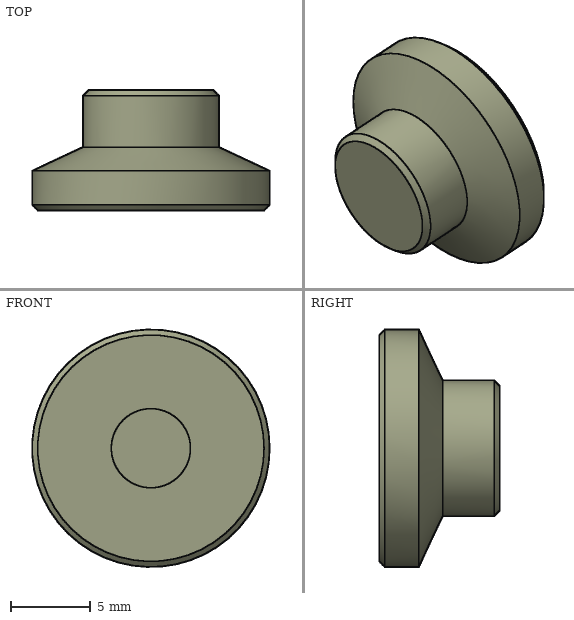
import cadquery as cq

flange_diameter = 15.0
flange_thickness = 2.5
taper_length = 1.5
hub_diameter = 8.6
hub_length = 3.6
edge_chamfer = 0.36
recess_diameter = 5.0
recess_depth = 0.5

flange_radius = flange_diameter / 2
hub_radius = hub_diameter / 2
hub_start = flange_thickness + taper_length
total_length = hub_start + hub_length

body = (
    cq.Workplane("XY")
    .moveTo(0, 0)
    .lineTo(flange_radius - edge_chamfer, 0)
    .lineTo(flange_radius, edge_chamfer)
    .lineTo(flange_radius, flange_thickness)
    .lineTo(hub_radius, hub_start)
    .lineTo(hub_radius, total_length - edge_chamfer)
    .lineTo(hub_radius - edge_chamfer, total_length)
    .lineTo(0, total_length)
    .close()
    .revolve(360, (0, 0, 0), (0, 1, 0))
)

recess = cq.Workplane("XZ").circle(recess_diameter / 2).extrude(-recess_depth)

result = body.cut(recess)